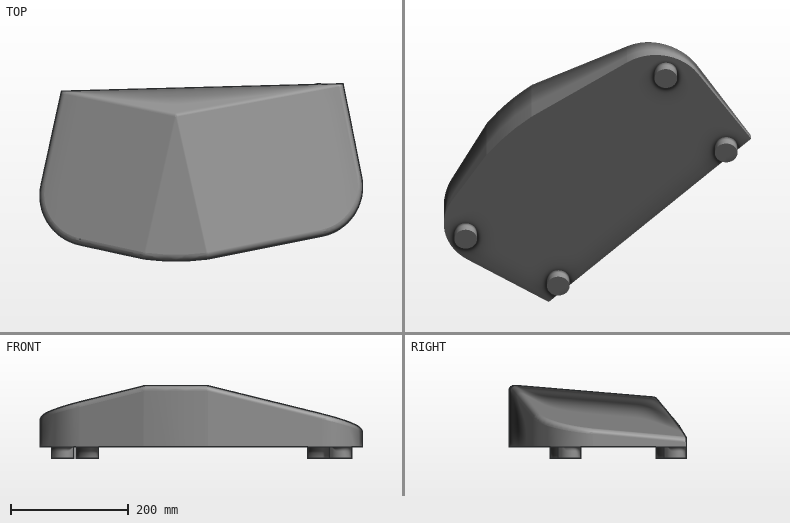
import cadquery as cq
import math


APEX_HEIGHT = 84.5
LEFT_ANGLE = 12.3
RIGHT_ANGLE = 11.3
LEFT_BACK = (-194.5, 40.0)
RIGHT_BACK = (283.5, 52.5)
NOSE_Y = -249.0
NOSE_HALF_WIDTH = 55.0
NOSE_CORNER_Y = -245.0
CORNER_RADIUS = 86.0

CENTRE_RISE = 0.084
WING_FALL = 0.22
WING_RISE = CENTRE_RISE + WING_FALL * NOSE_HALF_WIDTH / -NOSE_CORNER_Y
STEEPEST_TOP = 30.0
EDGE_RADIUS = 10.0

FOOT_DIAMETER = 38.5
FOOT_HEIGHT = 20.0
FOOT_CENTRES = [(-150.5, 20.0), (-192.5, -159.5), (242.0, 33.5), (279.0, -146.0)]

STOCK_HEIGHT = 164.5
CUTTER_SIZE = 1644.0


def wing_height(point):
    """Height of the sloping wing faces above a plan point."""
    x, y = point
    return APEX_HEIGHT - WING_FALL * abs(x) - WING_RISE * y


def front_corner(back, side, angle):
    """Sharp corner where a wing's end wall meets its front wall; side is -1 left, +1 right."""
    slope = math.tan(math.radians(angle))
    nose_x = side * NOSE_HALF_WIDTH
    outward = side * (back[0] - nose_x)
    drop = (back[1] - NOSE_CORNER_Y - slope * outward) / (1 + slope**2)
    return (back[0] + side * slope * drop, back[1] - drop)


def make_stock():
    """Upright block with the plan outline and rounded front corners."""
    left_front = front_corner(LEFT_BACK, -1, LEFT_ANGLE)
    right_front = front_corner(RIGHT_BACK, 1, RIGHT_ANGLE)
    stock = (
        cq.Workplane("XY")
        .moveTo(*LEFT_BACK)
        .lineTo(*left_front)
        .lineTo(-NOSE_HALF_WIDTH, NOSE_CORNER_Y)
        .threePointArc((0, NOSE_Y), (NOSE_HALF_WIDTH, NOSE_CORNER_Y))
        .lineTo(*right_front)
        .lineTo(*RIGHT_BACK)
        .close()
        .extrude(STOCK_HEIGHT)
    )
    for corner in (left_front, right_front):
        middle = (*corner, STOCK_HEIGHT / 2)
        stock = stock.edges(cq.selectors.NearestToPointSelector(middle)).fillet(CORNER_RADIUS)
    return stock


def cut_above(body, normal):
    """Remove everything above the plane through the apex with the given upward normal."""
    plane = cq.Plane(origin=(0, 0, APEX_HEIGHT), normal=normal)
    cutter = cq.Workplane(plane).rect(CUTTER_SIZE, CUTTER_SIZE).extrude(CUTTER_SIZE)
    return body.cut(cutter)


def back_normal():
    """Normal of the back slope through the apex and the tops of both back corners."""
    apex = cq.Vector(0, 0, APEX_HEIGHT)
    to_left = cq.Vector(*LEFT_BACK, wing_height(LEFT_BACK)) - apex
    to_right = cq.Vector(*RIGHT_BACK, wing_height(RIGHT_BACK)) - apex
    return to_right.cross(to_left)


def round_top(body):
    """Round every edge of the three top faces."""
    top_faces = [
        face
        for face in body.faces().vals()
        if face.normalAt().z > math.cos(math.radians(STEEPEST_TOP))
    ]
    return body.newObject(top_faces).edges().fillet(EDGE_RADIUS)


def make_feet():
    """Round feet below the body."""
    return (
        cq.Workplane("XY")
        .pushPoints(FOOT_CENTRES)
        .circle(FOOT_DIAMETER / 2)
        .extrude(-FOOT_HEIGHT)
    )


body = make_stock()
body = cut_above(body, (0, CENTRE_RISE, 1))
body = cut_above(body, (-WING_FALL, WING_RISE, 1))
body = cut_above(body, (WING_FALL, WING_RISE, 1))
body = cut_above(body, back_normal())
body = round_top(body)
result = body.union(make_feet())